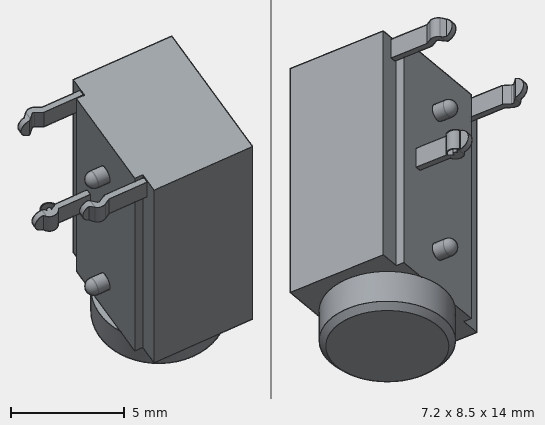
import cadquery as cq
import math


overall_height = 14
housing_width = 7.2
housing_height = 12.1
housing_back_y = 2.7
shelf_y = -2.3
pad_width = 5.2
pad_face_y = -housing_back_y

sleeve_diameter = 6.0
sleeve_length = overall_height - housing_height
sleeve_chamfer = 0.3

peg_radius = 0.4
peg_tip_y = -3.7
upper_peg_depth = 2.5
peg_spacing = 7.49
upper_peg_z = housing_height - upper_peg_depth
peg_heights = [upper_peg_z, upper_peg_z - peg_spacing]

terminal_tip_y = -5.5
terminal_width = 1.02
sheet = 0.3
bend_radius = 0.4
bend_y = -4.7
inner_bend_radius = bend_radius - sheet

corner_stem_x = 2.84
corner_bend_x = 2.8
corner_tip_x = 2.75
corner_terminal_depth = 0.6
corner_terminal_z = housing_height - corner_terminal_depth
entry_angle = math.radians(30)
exit_angle = math.radians(45)

middle_terminal_x = -1.5
middle_terminal_depth = 5.88
middle_terminal_z = housing_height - middle_terminal_depth
eyelet_wall = 0.04
eyelet_exit_drop = 0.22


def make_housing():
    """Block with a full-height raised pad on its -Y face."""
    outline = [
        (-housing_width / 2, housing_back_y),
        (housing_width / 2, housing_back_y),
        (housing_width / 2, shelf_y),
        (pad_width / 2, shelf_y),
        (pad_width / 2, pad_face_y),
        (-pad_width / 2, pad_face_y),
        (-pad_width / 2, shelf_y),
        (-housing_width / 2, shelf_y),
    ]
    return cq.Workplane("XY").polyline(outline).close().extrude(housing_height)


def make_sleeve():
    """Round collar under the housing, chamfered at its free end."""
    collar = cq.Workplane("XY").circle(sleeve_diameter / 2).extrude(-sleeve_length)
    return collar.faces("<Z").chamfer(sleeve_chamfer)


def make_peg(z):
    """Cylinder with a hemispherical end, standing on the pad."""
    dome_y = peg_tip_y + peg_radius
    half_section = (
        cq.Workplane("XY")
        .moveTo(0, pad_face_y)
        .lineTo(peg_radius, pad_face_y)
        .lineTo(peg_radius, dome_y)
        .radiusArc((0, peg_tip_y), peg_radius)
        .close()
    )
    return half_section.revolve(360, (0, 0, 0), (0, 1, 0)).translate((0, 0, z))


def extrude_sheet(profile):
    """Extrude an XY profile to the terminal width, centred on Z = 0."""
    return profile.extrude(terminal_width / 2, both=True)


def round_tip(terminal):
    """Trim the terminal's free end to a half circle across its width."""
    end_radius = terminal_width / 2
    round_start_y = terminal_tip_y + end_radius
    blade = (
        cq.Workplane("YZ")
        .moveTo(0, -end_radius)
        .lineTo(round_start_y, -end_radius)
        .threePointArc((terminal_tip_y, 0), (round_start_y, end_radius))
        .lineTo(0, end_radius)
        .close()
        .extrude(housing_width, both=True)
    )
    return terminal.intersect(blade)


def bend_point(radius, angle):
    """Point on the outward side of the corner bend, at an angle above +X."""
    return (corner_bend_x + radius * math.cos(angle), bend_y + radius * math.sin(angle))


def make_right_terminal():
    """Corner terminal at +X; straight legs run tangent into the bend arcs."""

    def entry_corner(radius, stem_face_x):
        x, y = bend_point(radius, entry_angle)
        return (stem_face_x, y + (x - stem_face_x) / math.tan(entry_angle))

    def exit_corner(radius, tip_face_x):
        x, y = bend_point(radius, -exit_angle)
        return (tip_face_x, y - (x - tip_face_x) / math.tan(exit_angle))

    stem_outer_x = corner_stem_x + sheet / 2
    stem_inner_x = corner_stem_x - sheet / 2
    tip_outer_x = corner_tip_x + sheet / 2
    tip_inner_x = corner_tip_x - sheet / 2
    profile = (
        cq.Workplane("XY")
        .moveTo(stem_outer_x, shelf_y)
        .lineTo(*entry_corner(bend_radius, stem_outer_x))
        .lineTo(*bend_point(bend_radius, entry_angle))
        .threePointArc(bend_point(bend_radius, 0), bend_point(bend_radius, -exit_angle))
        .lineTo(*exit_corner(bend_radius, tip_outer_x))
        .lineTo(tip_outer_x, terminal_tip_y)
        .lineTo(tip_inner_x, terminal_tip_y)
        .lineTo(*exit_corner(inner_bend_radius, tip_inner_x))
        .lineTo(*bend_point(inner_bend_radius, -exit_angle))
        .threePointArc(bend_point(inner_bend_radius, 0), bend_point(inner_bend_radius, entry_angle))
        .lineTo(*entry_corner(inner_bend_radius, stem_inner_x))
        .lineTo(stem_inner_x, shelf_y)
        .close()
    )
    return round_tip(extrude_sheet(profile)).translate((0, 0, corner_terminal_z))


def make_eyelet_opening():
    """Opening through the -X half of the eyelet, around a small round core."""
    stem_face_x = -sheet / 2
    entry_y = bend_y + math.sqrt(bend_radius**2 - stem_face_x**2)
    outline = [
        (-bend_radius, entry_y),
        (stem_face_x, entry_y),
        (inner_bend_radius, bend_y),
        (stem_face_x, bend_y - eyelet_exit_drop),
        (stem_face_x, bend_y - bend_radius),
        (-bend_radius, bend_y - bend_radius),
    ]
    open_side = extrude_sheet(cq.Workplane("XY").polyline(outline).close())
    bore = extrude_sheet(cq.Workplane("XY").center(0, bend_y).circle(bend_radius - eyelet_wall))
    core = extrude_sheet(cq.Workplane("XY").center(0, bend_y).circle(inner_bend_radius))
    return open_side.intersect(bore).cut(core)


def make_middle_terminal():
    """Straight strip from the pad with an eyelet ahead of its tip."""
    length = pad_face_y - terminal_tip_y
    mid_y = (pad_face_y + terminal_tip_y) / 2
    strip = extrude_sheet(cq.Workplane("XY").center(0, mid_y).rect(sheet, length))
    eyelet = extrude_sheet(cq.Workplane("XY").center(0, bend_y).circle(bend_radius))
    terminal = round_tip(strip.union(eyelet).cut(make_eyelet_opening()))
    return terminal.translate((middle_terminal_x, 0, middle_terminal_z))


housing = make_housing()
sleeve = make_sleeve()
pegs = [make_peg(z) for z in peg_heights]
right_terminal = make_right_terminal()
left_terminal = right_terminal.mirror("YZ")
middle_terminal = make_middle_terminal()

result = cq.Compound.makeCompound([
    housing.val(),
    sleeve.val(),
    *[peg.val() for peg in pegs],
    *right_terminal.vals(),
    *left_terminal.vals(),
    *middle_terminal.vals(),
])